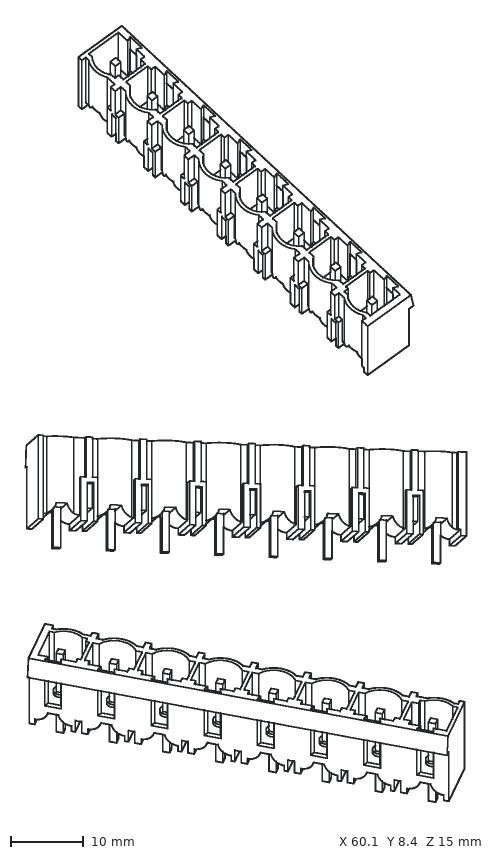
import cadquery as cq
import math


pole_count = 8
length = 60.15
first_pole_x = 3.35
last_pole_margin = 3.4
pitch = (length - first_pole_x - last_pole_margin) / (pole_count - 1)
pole_y = 3.85
pole_xs = [first_pole_x + i * pitch for i in range(pole_count)]
boundary_xs = [x + pitch / 2 for x in pole_xs[:-1]]

height = 11.7
back_y = 7.6
web_y = 1.1
end_web_y = 0.7
bulge_radius = 3.65
bulge_wall = 0.55
left_wall = 0.55
right_wall = 1.1

ledge_drop = 3.0
ledge_top_y = 7.95
ledge_tip_y = 8.4

floor_z = 3.3
cell_front_y = 2.15
end_cell_front_y = 1.45
cell_back_y = 6.85
cell_half_width = 2.8
end_cell_half_width = 2.7
side_back_y = 6.15
partition = 0.55
side_half_width = (pitch - partition) / 2
cell_shifts = [0.0] * pole_count
cell_shifts[0] = left_wall + end_cell_half_width - pole_xs[0]
cell_shifts[-1] = length - right_wall - end_cell_half_width - pole_xs[-1]

key_half_width = 0.9
key_back_half_width = 1.2
key_floor_z = 3.6

boss_radius = 1.0
boss_height = 0.5

rib_width = 0.9
foot_width = 2.35
foot_height = 6.15
right_pillar = 1.2

slot_width = 0.9
slot_offset = 0.2
slot_top_z = 5.4
passage_top_z = 2.0

arch_half_width = (pitch - foot_width) / 2
arch_foot_z = 0.9
arch_crown_z = 2.4
arch_radius = 1.9
left_pillar = first_pole_x - arch_half_width

pin_side = 1.0
pin_below = 3.25
pin_drop = 1.2
pin_top_z = height - pin_drop


def block(x0, x1, y0, y1, z0, z1):
    """Box between two corners."""
    return cq.Workplane("XY").box(x1 - x0, y1 - y0, z1 - z0, centered=False).translate((x0, y0, z0))


def upright_cylinder(x, radius, z0, z1):
    """Vertical cylinder on the row of poles."""
    return cq.Workplane("XY", origin=(x, pole_y, z0)).circle(radius).extrude(z1 - z0)


def rounded_front(x, radius, back_limit_y, z0):
    """Front segment of a cylinder on the row of poles, up to the rim of the housing."""
    front_region = block(x - radius, x + radius, pole_y - radius, back_limit_y, z0, height)
    return upright_cylinder(x, radius, z0, height).intersect(front_region)


def make_shell():
    """Solid outer form: back ledge profile, end webs and the bulges in front of the poles."""
    shell = (
        cq.Workplane("YZ")
        .polyline([
            (web_y, 0),
            (back_y, 0),
            (back_y, height - ledge_drop),
            (ledge_tip_y, height - ledge_drop),
            (ledge_top_y, height),
            (web_y, height),
        ])
        .close()
        .extrude(length)
    )
    shell = shell.union(block(0, boundary_xs[0], end_web_y, back_y, 0, height))
    shell = shell.union(block(boundary_xs[-1], length, end_web_y, back_y, 0, height))
    for x, shift in zip(pole_xs, cell_shifts):
        shell = shell.union(rounded_front(x + shift, bulge_radius, web_y, 0))
    return shell


def make_front_supports():
    """End pillars, and the ribs with wide feet between the poles."""
    supports = block(0, left_pillar, 0, web_y, 0, height)
    supports = supports.union(block(length - right_pillar, length, 0, web_y, 0, height))
    for x in boundary_xs:
        supports = supports.union(block(x - rib_width / 2, x + rib_width / 2, 0, web_y, 0, height))
        supports = supports.union(block(x - foot_width / 2, x + foot_width / 2, 0, web_y, 0, foot_height))
    return supports


def make_cell(index):
    """Cavity of one pole; the end poles have a plain outer side and a flat front."""
    x = pole_xs[index]
    middle_x = x + cell_shifts[index]
    is_first = index == 0
    is_last = index == pole_count - 1
    is_end = is_first or is_last
    half_width = end_cell_half_width if is_end else cell_half_width
    front_y = end_cell_front_y if is_end else cell_front_y
    side_left = middle_x if is_first else x - side_half_width
    side_right = middle_x if is_last else x + side_half_width

    cell = block(middle_x - half_width, middle_x + half_width, front_y, cell_back_y, floor_z, height)
    cell = cell.union(block(side_left, side_right, cell_front_y, side_back_y, floor_z, height))
    return cell.union(rounded_front(middle_x, bulge_radius - bulge_wall, front_y, floor_z))


def make_keyway(x):
    """Dovetail groove through the back wall, closed behind by the ledge."""
    return (
        cq.Workplane("XY", origin=(x, 0, key_floor_z))
        .polyline([
            (-key_half_width, cell_back_y),
            (key_half_width, cell_back_y),
            (key_back_half_width, back_y),
            (-key_back_half_width, back_y),
        ])
        .close()
        .extrude(height - key_floor_z)
    )


def make_arch(x):
    """Passage under one pole: a flat crown between two convex rounds, above a rectangular foot."""
    centre_z = arch_foot_z + arch_radius
    crown_half = arch_half_width - math.sqrt(arch_radius**2 - (centre_z - arch_crown_z) ** 2)
    diagonal = arch_radius * math.cos(math.radians(45))
    mid_x = arch_half_width - diagonal
    mid_z = centre_z - diagonal
    return (
        cq.Workplane("XZ", origin=(x, 0, 0))
        .moveTo(-arch_half_width, 0)
        .lineTo(-arch_half_width, arch_foot_z)
        .threePointArc((-mid_x, mid_z), (-crown_half, arch_crown_z))
        .lineTo(crown_half, arch_crown_z)
        .threePointArc((mid_x, mid_z), (arch_half_width, arch_foot_z))
        .lineTo(arch_half_width, 0)
        .close()
        .extrude(-back_y)
    )


def make_foot_slot(x):
    """Recess in the front of a rib foot with a passage to the back at its lower end."""
    x0 = x + slot_offset - slot_width / 2
    x1 = x0 + slot_width
    recess = block(x0, x1, 0, web_y, 0, slot_top_z)
    return recess.union(block(x0, x1, 0, back_y, 0, passage_top_z))


def make_pin(x):
    """Square pin standing in the floor of a cell and reaching out below."""
    return (
        cq.Workplane("XY", origin=(x, pole_y, -pin_below))
        .rect(pin_side, pin_side)
        .extrude(pin_top_z + pin_below)
    )


def make_housing(pins):
    housing = make_shell().union(make_front_supports())
    for index, x in enumerate(pole_xs):
        housing = housing.cut(make_cell(index))
        housing = housing.cut(make_keyway(x))
        housing = housing.cut(make_arch(x))
        housing = housing.union(upright_cylinder(x, boss_radius, floor_z, floor_z + boss_height))
        housing = housing.cut(pins[index])
    for x in boundary_xs:
        housing = housing.cut(make_foot_slot(x))
    return housing


pins = [make_pin(x) for x in pole_xs]
housing = make_housing(pins)

result = cq.Compound.makeCompound([housing.val(), *[pin.val() for pin in pins]])